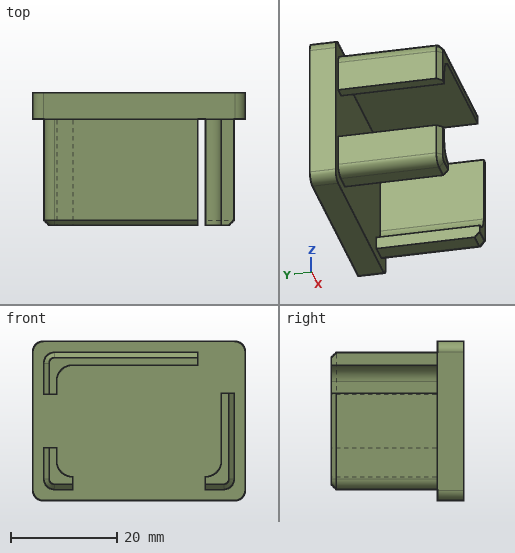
import cadquery as cq

plate_width = 40.0
plate_height = 30.0
plate_thickness = 5.0
plate_corner_radius = 2.0

plug_width = 35.8
plug_height = 25.8
plug_depth = 20.0
wall_thickness = 2.4
outer_corner_radius = 2.0
inner_corner_radius = 3.0
lead_in_chamfer = 1.0

left_gap_height = 10.0
top_rail_length = 28.95
right_leg_height = 18.1

plug_left = -plug_width / 2
plug_right = plug_width / 2
plug_bottom = -plug_height / 2
plug_top = plug_height / 2

foot_length = wall_thickness + inner_corner_radius


def rounded_block(width, height, corner_radius, start_y, end_y):
    """Block centred on the Y axis with its four corners rounded."""
    return (
        cq.Workplane("XZ", origin=(0, end_y, 0))
        .rect(width, height)
        .extrude(end_y - start_y)
        .edges("|Y")
        .fillet(corner_radius)
    )


def plug_region(x_min, x_max, z_min, z_max):
    """Box over the full plug depth that keeps one stretch of the sleeve."""
    return cq.Workplane("XY").box(
        x_max - x_min, plug_depth, z_max - z_min, centered=False
    ).translate((x_min, -plug_depth, z_min))


def make_sleeve():
    """Closed sleeve with a chamfered outer rim at its free end."""
    outer = rounded_block(plug_width, plug_height, outer_corner_radius, -plug_depth, 0)
    outer = outer.faces("<Y").chamfer(lead_in_chamfer)
    opening = rounded_block(
        plug_width - 2 * wall_thickness,
        plug_height - 2 * wall_thickness,
        inner_corner_radius,
        -plug_depth,
        0,
    )
    return outer.cut(opening)


plate = rounded_block(plate_width, plate_height, plate_corner_radius, 0, plate_thickness)
sleeve = make_sleeve()

kept_regions = [
    plug_region(plug_left, plug_left + top_rail_length, left_gap_height / 2, plug_top),
    plug_region(plug_left, plug_left + foot_length, plug_bottom, -left_gap_height / 2),
    plug_region(plug_right - foot_length, plug_right, plug_bottom, plug_bottom + right_leg_height),
]

result = plate
for region in kept_regions:
    result = result.union(sleeve.intersect(region))